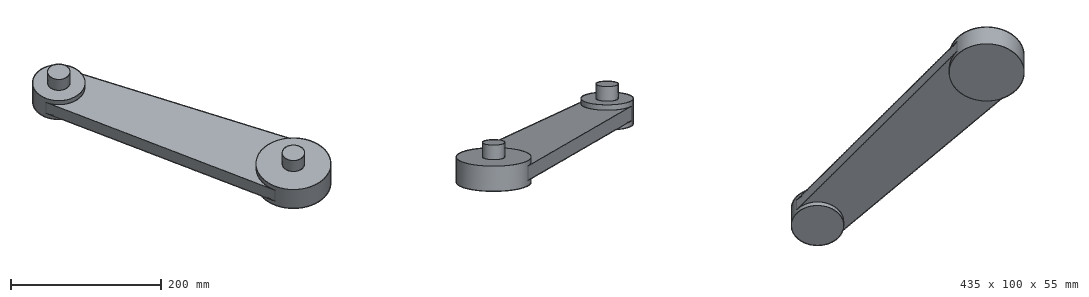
import cadquery as cq
import math

overall_length = 435.0
large_diameter = 100.0
small_diameter = 70.0
boss_height = 35.0
web_thickness = 20.0
pin_diameter = 30.0
pin_height = 20.0

large_radius = large_diameter / 2
small_radius = small_diameter / 2
center_distance = overall_length - large_radius - small_radius
web_bottom = (boss_height - web_thickness) / 2

tangent_cos = -(large_radius - small_radius) / center_distance
tangent_sin = math.sqrt(1 - tangent_cos**2)


def boss_with_pin(center_x, diameter):
    """Round boss carrying a concentric pin on its top face."""
    boss = cq.Workplane("XY").center(center_x, 0).circle(diameter / 2).extrude(boss_height)
    pin = cq.Workplane("XY").center(center_x, 0).circle(pin_diameter / 2).extrude(boss_height + pin_height)
    return boss.union(pin)


def tapered_web():
    """Flat web whose sides are tangent to both bosses."""
    small_x = small_radius * tangent_cos
    small_y = small_radius * tangent_sin
    large_x = center_distance + large_radius * tangent_cos
    large_y = large_radius * tangent_sin
    corners = [(small_x, -small_y), (large_x, -large_y), (large_x, large_y), (small_x, small_y)]
    return cq.Workplane("XY").workplane(offset=web_bottom).polyline(corners).close().extrude(web_thickness)


result = (
    tapered_web()
    .union(boss_with_pin(0, small_diameter))
    .union(boss_with_pin(center_distance, large_diameter))
)